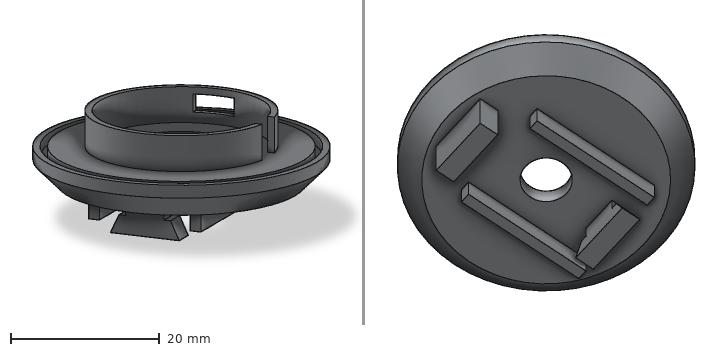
import cadquery as cq

disc_diameter = 40.0
disc_height = 5.1
bevel_height = 3.3
bevel_width = 3.3
bore_diameter = 7.0
pocket_diameter = 15.0
pocket_depth = 2.5

groove_outer_diameter = 38.0
groove_inner_diameter = 36.0
groove_depth = 1.5

collar_outer_diameter = 26.0
collar_inner_diameter = 24.0
collar_height = 5.0
slot_width = 4.0
slot_centre_y = -0.1
window_width = 6.0
window_centre_x = -0.5
window_height = 2.5
window_top_margin = 1.0

rail_thickness = 1.55
rail_centre_x = 7.5
rail_front_y = -12.0
rail_back_y = 8.0
rail_depth = 3.0

catch_length = 3.0
catch_depth = 4.55
catch_neck_depth = 1.9
catch_neck_half_width = 2.85
catch_shoulder_half_width = 3.8
catch_foot_half_width = 5.1

stop_width = 9.6
stop_length = 3.0
stop_front_y = 12.0
stop_depth = 6.0


def ring(outer_diameter, inner_diameter, base_z, height):
    return (
        cq.Workplane("XY", origin=(0, 0, base_z))
        .circle(outer_diameter / 2)
        .circle(inner_diameter / 2)
        .extrude(height)
    )


def hanging_block(width, front_y, back_y, centre_x, depth):
    """Block reaching down from the underside of the disc."""
    return (
        cq.Workplane("XY")
        .center(centre_x, (front_y + back_y) / 2)
        .rect(width, back_y - front_y)
        .extrude(-depth)
    )


def make_disc():
    rim_radius = disc_diameter / 2
    bore_radius = bore_diameter / 2
    pocket_radius = pocket_diameter / 2
    pocket_floor_z = disc_height - pocket_depth
    body = (
        cq.Workplane("XZ")
        .polyline([
            (bore_radius, 0),
            (rim_radius - bevel_width, 0),
            (rim_radius, bevel_height),
            (rim_radius, disc_height),
            (pocket_radius, disc_height),
            (pocket_radius, pocket_floor_z),
            (bore_radius, pocket_floor_z),
        ])
        .close()
        .revolve(360, (0, 0, 0), (0, 1, 0))
    )
    groove = ring(
        groove_outer_diameter, groove_inner_diameter, disc_height - groove_depth, groove_depth
    )
    return body.cut(groove)


def make_collar():
    collar = ring(collar_outer_diameter, collar_inner_diameter, disc_height, collar_height)
    slot = (
        cq.Workplane("XY", origin=(0, slot_centre_y, disc_height))
        .box(collar_outer_diameter, slot_width, collar_height, centered=(False, True, False))
    )
    window_base_z = disc_height + collar_height - window_top_margin - window_height
    window = (
        cq.Workplane("XY", origin=(window_centre_x, 0, window_base_z))
        .box(window_width, collar_outer_diameter, window_height, centered=(True, False, False))
    )
    return collar.cut(slot).cut(window)


def make_catch():
    right_edge = [
        (catch_neck_half_width, 0),
        (catch_neck_half_width, -catch_neck_depth),
        (catch_shoulder_half_width, -catch_neck_depth),
        (catch_foot_half_width, -catch_depth),
    ]
    left_edge = [(-x, z) for x, z in reversed(right_edge)]
    return (
        cq.Workplane("XZ", origin=(0, rail_front_y, 0))
        .polyline(right_edge + left_edge)
        .close()
        .extrude(-catch_length)
    )


result = make_disc().union(make_collar()).union(make_catch())
for side in (-1, 1):
    rail = hanging_block(rail_thickness, rail_front_y, rail_back_y, side * rail_centre_x, rail_depth)
    result = result.union(rail)
stop = hanging_block(stop_width, stop_front_y, stop_front_y + stop_length, 0, stop_depth)
result = result.union(stop)